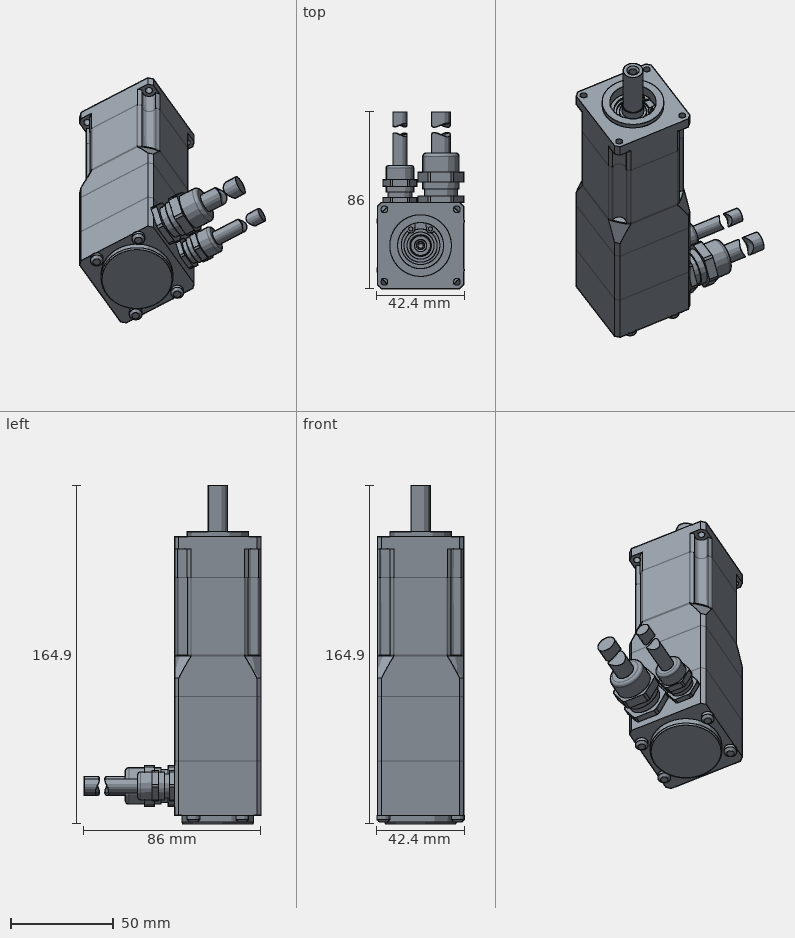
import cadquery as cq
import math

WIDTH = 42.0
HALF = WIDTH / 2
CORNER_CHAMFER = 2.0
TURNED_RADIUS = 24.7

COVER_HEIGHT = 4.3
CONNECTOR_TOP = 30.8
MOTOR_TOP = 62.2
TAPER_START = 71.0
TAPER_TOP = 81.8
RIM_TOP = 82.5
GEARBOX_TOP = 120.2
FLANGE_BOTTOM = 134.0
FLANGE_TOP = 140.0
PILOT_TOP = 142.5
SHAFT_TOP = 164.9

SCREW_OFFSET = 17.6
SCREW_HOLE_RADIUS = 1.6
RELIEF_RADIUS = 3.5
RELIEF_EDGE_FILLET = 0.3

PILOT_RADIUS = 15.0
BORE_RADIUS = 11.2
BORE_FLOOR = 135.9
SEAL_RECESS_OUTER = 8.0
SEAL_RECESS_INNER = 6.6
SEAL_RECESS_DEPTH = 1.0
SHAFT_RADIUS = 4.8
COLLAR_RADIUS = 5.3
COLLAR_TOP = 140.2
CENTRE_HOLE_RADIUS = 2.0
CENTRE_HOLE_DEPTH = 8.2
COUNTERSINK_RADIUS = 3.0
CORE_HOLE_RADIUS = 1.3
CORE_HOLE_DEPTH = 11.5
DRILL_POINT_DEPTH = 0.8

RING_THICKNESS = 1.0
RING_INNER_RADIUS = 9.4
RING_SHIFT = 0.2
EAR_X = 4.8
EAR_Y = 8.0
EAR_RADIUS = 2.0
EAR_HOLE_RADIUS = 1.0
RING_GAP = 5.3

COVER_RADIUS = 17.5
COVER_CHAMFER_RADIAL = 0.5
COVER_CHAMFER_HEIGHT = 1.0
COVER_SCREW_X = 18.1
COVER_SCREW_Y = 11.9
COVER_SCREW_RADIUS = 3.1
COVER_SCREW_HEIGHT = 3.3
COVER_SCREW_CHAMFER = 1.3

CABLE_Z = 18.6
CABLE_END = 44.0
CABLE_BREAK = 33.0
STUB_START = 37.6

POWER = dict(x=9.9, cable_radius=4.6, break_depth=1.07,
             nut_apothem=10.0, nut_radius=11.2, neck_radius=8.0, cap_radius=8.9, cap_fillet=1.8,
             foot_end=3.1, neck_end=6.6, collar_end=9.9, nut_end=14.7, cap_end=24.0)
SIGNAL = dict(x=-10.0, cable_radius=3.5, break_depth=0.9,
              nut_apothem=7.5, nut_radius=8.2, neck_radius=6.0, cap_radius=6.8, cap_fillet=1.3,
              foot_end=2.5, neck_end=5.0, collar_end=7.8, nut_end=11.0, cap_end=18.0)


def disc(radius, bottom, top, x=0.0, y=0.0):
    """Upright cylinder between two heights."""
    return cq.Workplane("XY", origin=(x, y, bottom)).circle(radius).extrude(top - bottom)


def block(bottom, top):
    """Square housing section with chamfered vertical corners."""
    square = cq.Workplane("XY", origin=(0, 0, bottom)).rect(WIDTH, WIDTH).extrude(top - bottom)
    return square.edges("|Z").chamfer(CORNER_CHAMFER)


def frustum(bottom_radius, bottom, top_radius, top):
    """Cone frustum about the Z axis."""
    return cq.Workplane(cq.Solid.makeCone(bottom_radius, top_radius, top - bottom, cq.Vector(0, 0, bottom)))


def at_corners(x, y):
    """The four points (+-x, +-y)."""
    return [(sx * x, sy * y) for sx in (-1, 1) for sy in (-1, 1)]


def turned_section(bottom, top):
    """Square section with its corners turned round."""
    return block(bottom, top).intersect(disc(TURNED_RADIUS, bottom, top))


def relieved_section(bottom, top):
    """Turned section with a screw access groove along each corner."""
    section = turned_section(bottom, top)
    for x, y in at_corners(SCREW_OFFSET, SCREW_OFFSET):
        section = section.cut(disc(RELIEF_RADIUS, bottom, top, x, y))
    return section


def taper_section():
    """Square section whose corners run out conically to the turned radius."""
    corner_reach = math.hypot(HALF, HALF - CORNER_CHAMFER)
    slope = (corner_reach - TURNED_RADIUS) / (TAPER_TOP - TAPER_START)
    bottom_radius = TURNED_RADIUS + slope * (TAPER_TOP - MOTOR_TOP)
    cone = frustum(bottom_radius, MOTOR_TOP, TURNED_RADIUS, TAPER_TOP)
    return block(MOTOR_TOP, TAPER_TOP).intersect(cone)


def flange():
    """Mounting flange with four screw holes and the pilot on top."""
    plate = block(FLANGE_BOTTOM, FLANGE_TOP)
    for x, y in at_corners(SCREW_OFFSET, SCREW_OFFSET):
        plate = plate.cut(disc(SCREW_HOLE_RADIUS, FLANGE_BOTTOM, FLANGE_TOP, x, y))
    return plate.union(disc(PILOT_RADIUS, FLANGE_TOP, PILOT_TOP))


def output_bore():
    """Space to remove around the shaft: the bore and the ring recess in its floor."""
    bore = disc(BORE_RADIUS, BORE_FLOOR, PILOT_TOP)
    recess_bottom = BORE_FLOOR - SEAL_RECESS_DEPTH
    recess = disc(SEAL_RECESS_OUTER, recess_bottom, BORE_FLOOR)
    return bore.union(recess.cut(disc(SEAL_RECESS_INNER, recess_bottom, BORE_FLOOR)))


def retaining_ring():
    """Internal retaining ring with two eyelets beside its gap."""
    top = BORE_FLOOR + RING_THICKNESS
    ring = disc(BORE_RADIUS, BORE_FLOOR, top)
    ring = ring.cut(disc(RING_INNER_RADIUS, BORE_FLOOR, top, 0, RING_SHIFT))
    for x in (-EAR_X, EAR_X):
        ring = ring.union(disc(EAR_RADIUS, BORE_FLOOR, top, x, EAR_Y))
    for x in (-EAR_X, EAR_X):
        ring = ring.cut(disc(EAR_HOLE_RADIUS, BORE_FLOOR, top, x, EAR_Y))
    gap = cq.Workplane("XY").box(RING_GAP, BORE_RADIUS, RING_THICKNESS, centered=(True, False, False))
    return ring.cut(gap.translate((0, 0, BORE_FLOOR)))


def shaft():
    """Output shaft on its collar, with a countersunk centre hole."""
    body = disc(COLLAR_RADIUS, BORE_FLOOR, COLLAR_TOP).union(disc(SHAFT_RADIUS, COLLAR_TOP, SHAFT_TOP))
    hole = disc(CENTRE_HOLE_RADIUS, SHAFT_TOP - CENTRE_HOLE_DEPTH, SHAFT_TOP)
    sink_depth = COUNTERSINK_RADIUS - CENTRE_HOLE_RADIUS
    sink = frustum(CENTRE_HOLE_RADIUS, SHAFT_TOP - sink_depth, COUNTERSINK_RADIUS, SHAFT_TOP)
    core_bottom = SHAFT_TOP - CORE_HOLE_DEPTH
    core = disc(CORE_HOLE_RADIUS, core_bottom, SHAFT_TOP)
    point = frustum(0, core_bottom - DRILL_POINT_DEPTH, CORE_HOLE_RADIUS, core_bottom)
    return body.cut(hole).cut(sink).cut(core).cut(point)


def end_cover():
    """Round cover under the housing and its four screw heads."""
    rim = COVER_RADIUS - COVER_CHAMFER_RADIAL
    cover = frustum(rim, 0, COVER_RADIUS, COVER_CHAMFER_HEIGHT)
    cover = cover.union(disc(COVER_RADIUS, COVER_CHAMFER_HEIGHT, COVER_HEIGHT))
    for x, y in at_corners(COVER_SCREW_X, COVER_SCREW_Y):
        head = disc(COVER_SCREW_RADIUS, COVER_HEIGHT - COVER_SCREW_HEIGHT, COVER_HEIGHT, x, y)
        cover = cover.union(head.faces("<Z").chamfer(COVER_SCREW_CHAMFER))
    return cover


def along_cable(line, start, end):
    """Workplane across the cable at a distance behind the housing, and the extrude depth.

    The workplane faces the housing, so the depth is negative."""
    plane = cq.Workplane("XZ", origin=(line["x"], HALF + start, CABLE_Z))
    return plane, start - end


def rod(line, radius, start, end):
    """Cylinder about the cable axis."""
    plane, depth = along_cable(line, start, end)
    return plane.circle(radius).extrude(depth)


def nut(line, start, end):
    """Hexagon nut with its corners turned down."""
    plane, depth = along_cable(line, start, end)
    corner_diameter = 2 * line["nut_apothem"] / math.cos(math.pi / 6)
    hexagon = plane.polygon(6, corner_diameter).extrude(depth)
    return hexagon.intersect(rod(line, line["nut_radius"], start, end))


def gland(line):
    """Cable gland: foot nut, neck, collar, nut and rounded cap."""
    cap = rod(line, line["cap_radius"], line["nut_end"], line["cap_end"])
    body = cap.faces(">Y").edges().fillet(line["cap_fillet"])
    body = body.union(nut(line, line["collar_end"], line["nut_end"]))
    body = body.union(rod(line, line["cap_radius"], line["neck_end"], line["collar_end"]))
    body = body.union(rod(line, line["neck_radius"], line["foot_end"], line["neck_end"]))
    return body.union(nut(line, 0, line["foot_end"]))


def broken_cable(line, plain_end, break_end):
    """Length of cable, cut square at one end and broken along a saddle surface at the other."""
    radius = line["cable_radius"]
    reach = 2 * line["break_depth"]
    corner_rise = reach * math.copysign(1, plain_end - break_end)

    def side(x_sign):
        """Side of the enclosing block, on one flank of the cable."""
        rise = corner_rise * x_sign
        corners = [(plain_end, -radius), (break_end - rise, -radius),
                   (break_end + rise, radius), (plain_end, radius)]
        points = [cq.Vector(line["x"] + x_sign * radius, HALF + y, CABLE_Z + z) for y, z in corners]
        return cq.Wire.makePolygon(points, close=True)

    envelope = cq.Workplane(cq.Solid.makeLoft([side(-1), side(1)], True))
    start = min(plain_end, break_end - reach)
    end = max(plain_end, break_end + reach)
    return rod(line, radius, start, end).intersect(envelope)


def cable_stub(line):
    """Loose cable end beyond the break."""
    return broken_cable(line, CABLE_END, STUB_START)


def actuator():
    """Housing with shaft, end cover, glands and the attached cable lengths."""
    gearbox = relieved_section(RIM_TOP, GEARBOX_TOP).edges("|Z").fillet(RELIEF_EDGE_FILLET)
    output_end = relieved_section(GEARBOX_TOP, FLANGE_BOTTOM).union(flange()).cut(output_bore())
    sections = [
        block(COVER_HEIGHT, CONNECTOR_TOP),
        block(CONNECTOR_TOP, MOTOR_TOP),
        taper_section(),
        turned_section(TAPER_TOP, RIM_TOP),
        gearbox,
        output_end,
        retaining_ring(),
        shaft(),
    ]
    body = end_cover()
    for section in sections:
        body = body.union(section, clean=False)
    for line in (POWER, SIGNAL):
        body = body.union(gland(line), clean=False)
        body = body.union(broken_cable(line, line["cap_end"], CABLE_BREAK), clean=False)
    return body


drive = actuator()
stubs = [cable_stub(line) for line in (POWER, SIGNAL)]
result = cq.Compound.makeCompound([drive.val(), *[stub.val() for stub in stubs]])